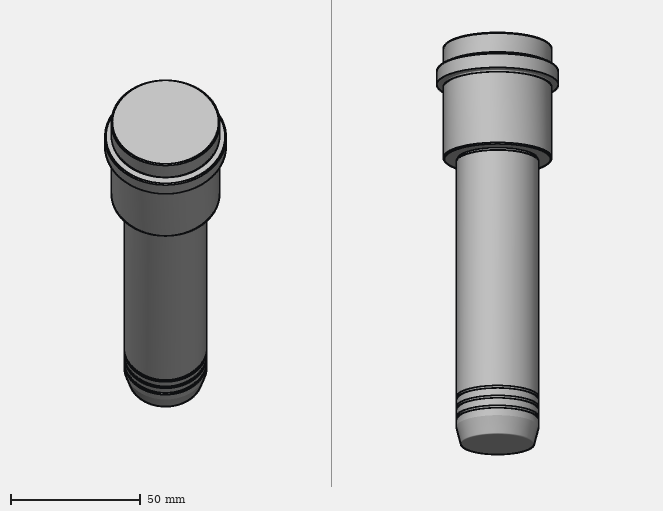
import cadquery as cq
import math

total_length = 160.0
head_length = 9.0
flange_length = 6.0
seat_length = 30.0

body_radius = 42.0 / 2
flange_radius = 47.0 / 2
shaft_radius = 32.0 / 2

edge_chamfer = 0.5
neck_width = 1.0
neck_depth = 0.5

taper_length = 7.0
taper_angle = 14.5
tip_fillet = 0.5

groove_count = 3
groove_width = 1.0
groove_depth = 0.5
root_fillet = 0.45
groove_pitch = 4.0
first_groove_bottom = 10.0

flange_top = total_length - head_length
flange_bottom = flange_top - flange_length
seat_bottom = flange_bottom - seat_length
tip_radius = shaft_radius - taper_length * math.tan(math.radians(taper_angle))


def cylinder(radius, bottom, top):
    """Solid cylinder on the Z axis between two levels."""
    return cq.Workplane("XY").workplane(offset=bottom).circle(radius).extrude(top - bottom)


def ring_cut(radius, depth, bottom, width):
    """Square-bottomed ring that removes the skin of a cylinder of the given radius."""
    return (
        cq.Workplane("XY")
        .workplane(offset=bottom)
        .circle(radius + depth)
        .circle(radius - depth)
        .extrude(width)
    )


def filleted_groove(radius, bottom):
    """Ring cut whose two root corners are rounded."""
    ring = ring_cut(radius, groove_depth, bottom, groove_width)
    return ring.edges(cq.selectors.RadiusNthSelector(0)).fillet(root_fillet)


def make_shaft():
    """Grooved shaft with a tapered tip and a neck under the seat."""
    profile = [
        (0, 0),
        (tip_radius, 0),
        (shaft_radius, taper_length),
        (shaft_radius, seat_bottom),
        (0, seat_bottom),
    ]
    shaft = cq.Workplane("XZ").polyline(profile).close().revolve(360, (0, 0), (0, 1))
    shaft = shaft.faces("<Z").edges().fillet(tip_fillet)
    for index in range(groove_count):
        groove_bottom = first_groove_bottom + index * groove_pitch
        shaft = shaft.cut(filleted_groove(shaft_radius, groove_bottom))
    return shaft.cut(ring_cut(shaft_radius, neck_depth, seat_bottom - neck_width, neck_width))


def make_seat():
    """Press-fit seat with a round-rooted groove under the flange."""
    seat = cylinder(body_radius, seat_bottom, flange_bottom).faces("<Z").chamfer(edge_chamfer)
    return seat.cut(filleted_groove(body_radius, flange_bottom - groove_width))


def make_flange():
    """Retaining flange with a chamfered upper edge."""
    return cylinder(flange_radius, flange_bottom, flange_top).faces(">Z").chamfer(edge_chamfer)


def make_head():
    """Chamfered head with a round-rooted groove above the flange."""
    head = cylinder(body_radius, flange_top, total_length).faces(">Z").chamfer(edge_chamfer)
    return head.cut(filleted_groove(body_radius, flange_top))


result = make_shaft().union(make_seat()).union(make_flange()).union(make_head())